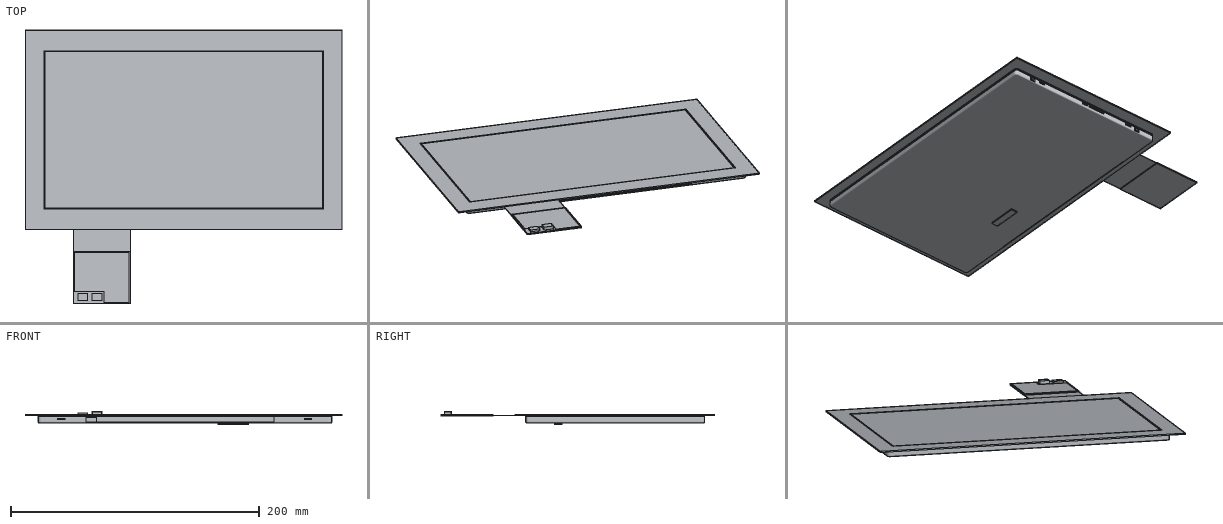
import cadquery as cq


module_width = 236.2
module_depth = 144.0
module_shift_x = 1.0
module_shift_y = 0.4
housing_height = 5.35
corner_radius = 2.6
edge_radius = 1.0
gasket_height = 0.6
module_height = housing_height + gasket_height
module_left = module_shift_x - module_width / 2
module_front = module_shift_y - module_depth / 2

clip_height = 1.0
clip_cut = 0.5
clip_top = 3.8
front_clip_length = 5.9
front_clips_x = (-98.5, 100.0)
left_clip_length = 5.1
left_clips_y = (45.2, 0.4, -45.0)

front_relief_start = -70.2
front_relief_end = 72.8
front_relief_cut = 0.4
front_step_length = 8.3
front_step_cut = 0.2
relief_bottom = edge_radius

left_pocket_y = -11.6
left_pocket_length = 15.0
left_pocket_bottom = 2.8

screw_pads_y = (55.0, -53.6)
screw_pad_length = 4.4
screw_pad_bottom = edge_radius
screw_pad_cut = 0.2
screw_hole_diameter = 2.6
screw_hole_depth = 2.0
screw_hole_height = 2.9

connector_length = 24.6
connector_depth = 5.8
connector_height = 1.0
connector_x = 39.8
connector_y = -45.4

panel_width = 255.0
panel_depth = 160.6
panel_thickness = 1.0
panel_bottom = module_height
panel_front = -panel_depth / 2
panel_top = panel_bottom + panel_thickness
window_width = 225.2
window_depth = 127.0
window_rim_x = 0.9
window_rim_y = 0.5
window_step = 0.2

tail_length = 59.5
tail_width = 46.0
tail_left = -88.8
film_thickness = 0.2
tail_end = panel_front - tail_length
board_length = 41.8
board_thickness = 1.0
board_sink = 0.25
board_bottom = panel_bottom - board_sink
board_top = board_bottom + board_thickness
cover_thickness = 0.15
cover_margin = 1.1
cover_back_margin = 0.8
notch_width = 24.6
notch_depth = 9.9

overall_height = 10.24
chip_height_step = 1.0
chip_width = 7.9
chip_depth = 5.6
chip_left = 3.6
chip_pitch = 11.5
chip_front = 2.7
tall_chip_height = overall_height - connector_height - board_top
low_chip_height = tall_chip_height - chip_height_step


def block(x, y, z, length, depth, height):
    """Box with its lowest corner at (x, y, z)."""
    return cq.Workplane("XY").box(length, depth, height, centered=False).translate((x, y, z))


def centred_slab(x, y, z, length, depth, height):
    """Box centred on (x, y) standing on height z."""
    return block(x - length / 2, y - depth / 2, z, length, depth, height)


def front_recess(start, length, bottom, top, cut):
    """Cutter that sets back the front wall of the module."""
    return block(start, module_front, bottom, length, cut, top - bottom)


def left_recess(middle, length, bottom, top, cut):
    """Cutter that sets back the left wall of the module."""
    return block(module_left, middle - length / 2, bottom, cut, length, top - bottom)


def make_module():
    housing = centred_slab(module_shift_x, module_shift_y, 0, module_width, module_depth, housing_height)
    housing = housing.edges("|Z").fillet(corner_radius)
    housing = housing.faces("<Z or >Z").edges().fillet(edge_radius)
    gasket = centred_slab(
        module_shift_x, module_shift_y, housing_height, module_width, module_depth, gasket_height
    ).edges("|Z").fillet(corner_radius)
    body = housing.union(gasket)

    relief_length = front_relief_end - front_relief_start
    body = body.cut(
        front_recess(front_relief_start, relief_length, relief_bottom, housing_height, front_relief_cut)
    )
    step_start = front_relief_start - front_step_length
    step_top = housing_height - edge_radius
    body = body.cut(front_recess(step_start, front_step_length, relief_bottom, step_top, front_step_cut))
    for x in front_clips_x:
        start = x - front_clip_length / 2
        body = body.cut(front_recess(start, front_clip_length, clip_top - clip_height, clip_top, clip_cut))

    for y in left_clips_y:
        body = body.cut(left_recess(y, left_clip_length, clip_top - clip_height, clip_top, clip_cut))
    pocket_top = housing_height - edge_radius
    body = body.cut(left_recess(left_pocket_y, left_pocket_length, left_pocket_bottom, pocket_top, clip_cut))
    for y in screw_pads_y:
        body = body.cut(left_recess(y, screw_pad_length, screw_pad_bottom, housing_height, screw_pad_cut))
        hole = (
            cq.Workplane("YZ", origin=(module_left, y, screw_hole_height))
            .circle(screw_hole_diameter / 2)
            .extrude(screw_hole_depth)
        )
        body = body.cut(hole)

    connector = centred_slab(
        connector_x, connector_y, -connector_height, connector_length, connector_depth, connector_height
    )
    return body.union(connector)


def make_touch_panel():
    panel = centred_slab(0, 0, panel_bottom, panel_width, panel_depth, panel_thickness)
    for level in (0, 1):
        step_width = window_width - 2 * level * window_rim_x
        step_depth = window_depth - 2 * level * window_rim_y
        step_floor = panel_top - (level + 1) * window_step
        panel = panel.cut(centred_slab(0, 0, step_floor, step_width, step_depth, window_step))

    film = block(tail_left, tail_end, panel_bottom, tail_width, tail_length, film_thickness)
    board = block(tail_left, tail_end, board_bottom, tail_width, board_length, board_thickness)
    cover = block(
        tail_left + cover_margin,
        tail_end + cover_margin,
        board_top,
        tail_width - 2 * cover_margin,
        board_length - cover_margin - cover_back_margin,
        cover_thickness,
    )
    cover = cover.cut(block(tail_left, tail_end, board_top, notch_width, notch_depth, cover_thickness))
    body = panel.union(film).union(board).union(cover)

    for index, height in enumerate((low_chip_height, tall_chip_height)):
        x = tail_left + chip_left + index * chip_pitch
        body = body.union(block(x, tail_end + chip_front, board_top, chip_width, chip_depth, height))
    return body


module = make_module()
touch_panel = make_touch_panel()

result = cq.Compound.makeCompound([module.val(), touch_panel.val()])